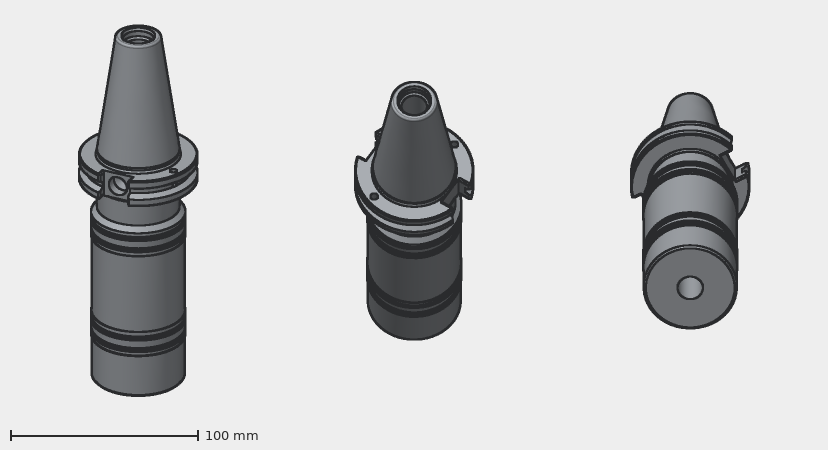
import cadquery as cq
import math

total_height = 205.6
gauge_z = 137.2
flange_top_z = 134.0
flange_bottom_z = 118.9
groove_mid_z = 126.5
neck_bottom_z = 102.5
body_top_z = 99.3

gauge_radius = 22.2
taper_slope = 7 / 48
tip_rounding = 1.2
flange_radius = 31.77
flange_chamfer = 0.6
groove_floor_radius = 28.2
groove_floor_width = 2.7
groove_half_angle = 30
neck_radius = gauge_radius
undercut_radius = 21.8
relief_radius = 22.8
top_undercut_z = 135.5
bottom_undercut_z = 117.6
relief_end_z = 116.5
body_radius = 50.0 / 2
band_radius = 50.5 / 2
nose_chamfer = 1.2

upper_band_bottom_z = 85.3
lower_band_top_z = 39.5
lower_band_bottom_z = 25.3
lower_band_taper = 0.6
ring_groove_mids = (95.8, 89.0, 35.5, 28.5)
ring_groove_width = 2.5
ring_groove_floor_width = 1.2
ring_groove_depth = band_radius - body_radius

bore_radius = 13.5 / 2
mouth_radius = 16.5 / 2
mouth_lip_radius = 9.0
mouth_lip_depth = 1.6
mouth_depth = 4.7
mouth_cone_depth = 1.2

slot_width = 16.2
slot_edge_chamfer = 1.0
front_slot_floor = 25.0
back_slot_floor = 22.8
slot_reach = flange_radius + 2

pocket_radius = 10.7 / 2
pocket_depth = 6.2
drill_point_angle = 118

coolant_circle_radius = 27.0
coolant_angle = 160
coolant_radius = 4.0 / 2
coolant_depth = 8.6


def make_turned_body():
    tip_radius = gauge_radius - taper_slope * (total_height - tip_rounding - gauge_z)
    groove_depth = flange_radius - groove_floor_radius
    floor_half = groove_floor_width / 2
    mouth_half = floor_half + groove_depth * math.tan(math.radians(groove_half_angle))
    outline = [
        (0, 0),
        (body_radius - nose_chamfer, 0),
        (body_radius, nose_chamfer),
        (body_radius, lower_band_bottom_z - lower_band_taper),
        (band_radius, lower_band_bottom_z),
        (band_radius, lower_band_top_z),
        (body_radius, lower_band_top_z),
        (body_radius, upper_band_bottom_z),
        (band_radius, upper_band_bottom_z),
        (band_radius, body_top_z),
        (neck_radius, neck_bottom_z),
        (neck_radius, relief_end_z),
        (undercut_radius, bottom_undercut_z),
        (relief_radius, flange_bottom_z),
        (flange_radius - flange_chamfer, flange_bottom_z),
        (flange_radius, flange_bottom_z + flange_chamfer),
        (flange_radius, groove_mid_z - mouth_half),
        (groove_floor_radius, groove_mid_z - floor_half),
        (groove_floor_radius, groove_mid_z + floor_half),
        (flange_radius, groove_mid_z + mouth_half),
        (flange_radius, flange_top_z - flange_chamfer),
        (flange_radius - flange_chamfer, flange_top_z),
        (relief_radius, flange_top_z),
        (undercut_radius, top_undercut_z),
        (gauge_radius, gauge_z),
        (tip_radius, total_height - tip_rounding),
    ]
    arc_inset = tip_rounding * (1 - math.sqrt(0.5))
    section = (
        cq.Workplane("XZ")
        .polyline(outline)
        .threePointArc(
            (tip_radius - arc_inset, total_height - arc_inset),
            (tip_radius - tip_rounding, total_height),
        )
        .lineTo(0, total_height)
        .close()
    )
    return section.revolve(360, (0, 0), (0, 1))


def make_ring_groove(mid_z):
    half = ring_groove_width / 2
    floor_half = ring_groove_floor_width / 2
    floor_radius = band_radius - ring_groove_depth
    outline = [
        (band_radius, mid_z - half),
        (floor_radius, mid_z - floor_half),
        (floor_radius, mid_z + floor_half),
        (band_radius, mid_z + half),
    ]
    return cq.Workplane("XZ").polyline(outline).close().revolve(360, (0, 0), (0, 1))


def make_bore():
    mouth_end_z = total_height - mouth_depth
    outline = [
        (0, 0),
        (bore_radius, 0),
        (bore_radius, mouth_end_z - mouth_cone_depth),
        (mouth_radius, mouth_end_z),
        (mouth_radius, total_height - mouth_lip_depth),
        (mouth_lip_radius, total_height),
        (0, total_height),
    ]
    return cq.Workplane("XZ").polyline(outline).close().revolve(360, (0, 0), (0, 1))


def make_drive_slot(floor, side):
    """Slot cut in from the rim on the +Y (side = 1) or -Y (side = -1) edge of the flange."""
    half = slot_width / 2
    rim_half = half + slot_edge_chamfer
    corner_y = math.sqrt(flange_radius**2 - rim_half**2)
    outline = [
        (-half, side * floor),
        (half, side * floor),
        (half, side * (corner_y - slot_edge_chamfer)),
        (rim_half, side * corner_y),
        (rim_half, side * slot_reach),
        (-rim_half, side * slot_reach),
        (-rim_half, side * corner_y),
        (-half, side * (corner_y - slot_edge_chamfer)),
    ]
    flange_height = flange_top_z - flange_bottom_z
    slot = (
        cq.Workplane("XY", origin=(0, 0, flange_bottom_z))
        .polyline(outline)
        .close()
        .extrude(flange_height)
    )
    flared_section = [
        (-rim_half, flange_bottom_z),
        (-half, flange_bottom_z + slot_edge_chamfer),
        (-half, flange_top_z - slot_edge_chamfer),
        (-rim_half, flange_top_z),
        (rim_half, flange_top_z),
        (half, flange_top_z - slot_edge_chamfer),
        (half, flange_bottom_z + slot_edge_chamfer),
        (rim_half, flange_bottom_z),
    ]
    flare = (
        cq.Workplane("XZ", origin=(0, side * floor, 0))
        .polyline(flared_section)
        .close()
        .extrude(-side * (flange_radius - floor))
    )
    return slot.union(flare)


def make_pocket():
    point_length = pocket_radius / math.tan(math.radians(drill_point_angle / 2))
    floor_y = -front_slot_floor
    outline = [
        (0, floor_y),
        (pocket_radius, floor_y),
        (pocket_radius, floor_y + pocket_depth),
        (0, floor_y + pocket_depth + point_length),
    ]
    return (
        cq.Workplane("XY", origin=(0, 0, groove_mid_z))
        .polyline(outline)
        .close()
        .revolve(360, (0, 0), (0, 1))
    )


def make_coolant_hole(angle):
    """Drilled hole from the flange top, with a conical bottom."""
    point_length = coolant_radius / math.tan(math.radians(drill_point_angle / 2))
    outline = [
        (0, 0),
        (coolant_radius, 0),
        (coolant_radius, -coolant_depth),
        (0, -coolant_depth - point_length),
    ]
    return (
        cq.Workplane("XZ")
        .polyline(outline)
        .close()
        .revolve(360, (0, 0), (0, 1))
        .translate((coolant_circle_radius, 0, flange_top_z))
        .rotate((0, 0, 0), (0, 0, 1), angle)
    )


result = make_turned_body().cut(make_bore())
for mid_z in ring_groove_mids:
    result = result.cut(make_ring_groove(mid_z))
result = result.cut(make_drive_slot(front_slot_floor, -1))
result = result.cut(make_drive_slot(back_slot_floor, 1))
result = result.cut(make_pocket())
for angle in (coolant_angle, coolant_angle + 180):
    result = result.cut(make_coolant_hole(angle))